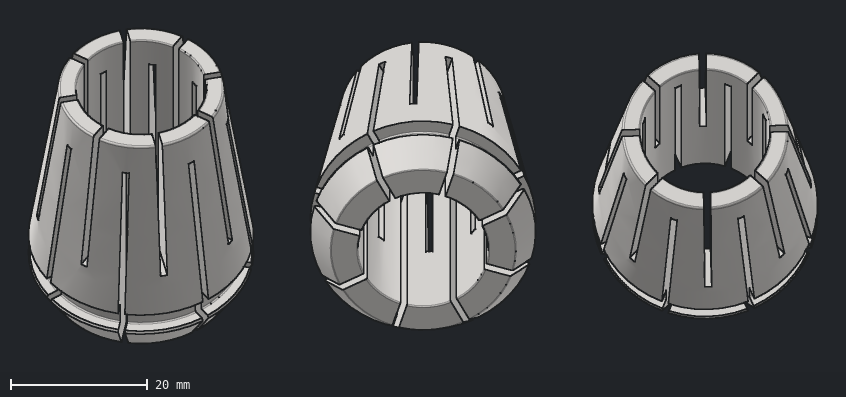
import cadquery as cq
import math

height = 40.0
max_radius = 32.95 / 2
bore_radius = 19.05 / 2

taper_half_angle = 8.0
taper_base_z = 9.1
taper_top_radius = max_radius - (height - taper_base_z) * math.tan(math.radians(taper_half_angle))

groove_radius = 14.6
nose_top_z = 5.5
nose_half_angle = 30.0
nose_bevel_height = 0.4
nose_slope = math.tan(math.radians(nose_half_angle))
nose_rim_z = nose_top_z - nose_bevel_height
nose_top_radius = max_radius - nose_bevel_height * nose_slope
nose_bottom_radius = max_radius - nose_rim_z * nose_slope

top_edge_fillet = 0.3
small_fillet = 0.2

slot_count = 8
slot_pitch = 360.0 / slot_count
slot_width = 1.0
lower_slot_top_z = 35.0
upper_slot_bottom_z = 16.0


def round_circle(body, radius, z, fillet_radius):
    """Fillet the circular edge of the given radius at the given height."""
    tolerance = 0.005

    def is_wanted(edge):
        return abs(edge.radius() - radius) < tolerance and abs(edge.Center().z - z) < tolerance

    return body.edges("%CIRCLE").filter(is_wanted).fillet(fillet_radius)


def collet_body():
    """Revolve the wall section about Z and round its edges."""
    section = [
        (bore_radius, 0),
        (nose_bottom_radius, 0),
        (max_radius, nose_rim_z),
        (nose_top_radius, nose_top_z),
        (groove_radius, nose_top_z),
        (groove_radius, taper_base_z),
        (max_radius, taper_base_z),
        (taper_top_radius, height),
        (bore_radius, height),
    ]
    body = cq.Workplane("XZ").polyline(section).close().revolve(360, (0, 0), (0, 1))
    body = round_circle(body, taper_top_radius, height, top_edge_fillet)
    small_rounds = [
        (bore_radius, height),
        (bore_radius, 0),
        (nose_bottom_radius, 0),
        (groove_radius, nose_top_z),
        (groove_radius, taper_base_z),
    ]
    for radius, z in small_rounds:
        body = round_circle(body, radius, z, small_fillet)
    return body


def radial_slots(bottom_z, top_z, first_angle):
    """Evenly spaced blades reaching from the axis past the largest radius."""
    blade = (
        cq.Workplane("XY", origin=(0, 0, bottom_z))
        .box(2 * max_radius, slot_width, top_z - bottom_z, centered=(False, True, False))
    )
    blades = cq.Workplane("XY")
    for index in range(slot_count):
        angle = first_angle + index * slot_pitch
        blades = blades.add(blade.rotate((0, 0, 0), (0, 0, 1), angle))
    return blades.combine()


lower_slots = radial_slots(0, lower_slot_top_z, 0)
upper_slots = radial_slots(upper_slot_bottom_z, height, slot_pitch / 2)

result = collet_body().cut(lower_slots).cut(upper_slots)